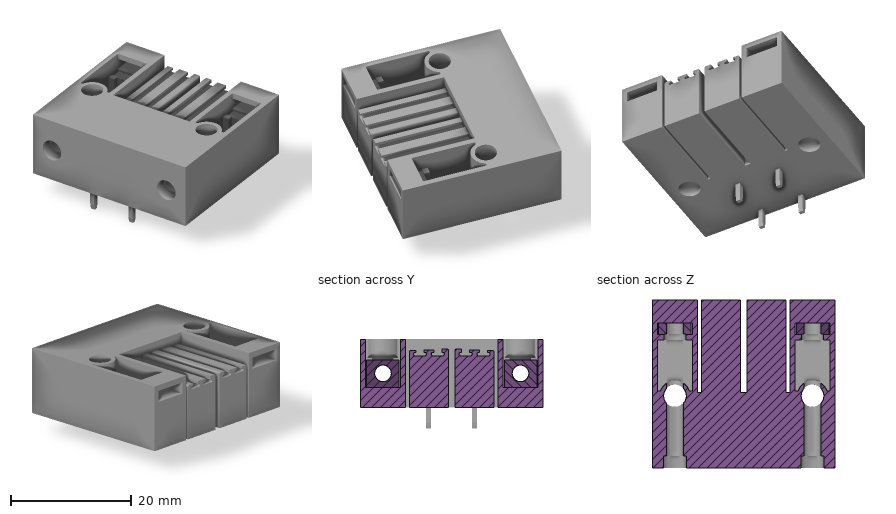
import cadquery as cq


WIDTH = 30.48
DEPTH = 28.0
HEIGHT = 11.4
PITCH = WIDTH / 4
FLANGE_X = 1.5 * PITCH
POLE_X = 0.5 * PITCH
FLANGE_WIDTH = PITCH
BAY_DEPTH = 15.4
BAY_FRONT_Y = DEPTH - BAY_DEPTH
SCREW_Z = HEIGHT / 2

FINGER_WIDTH = 6.58
INNER_RIB_TOP_Z = 9.78
MIDDLE_RIB_TOP_Z = 9.65
OUTER_RIB_TOP_Z = 9.5
FINGER_EDGE_RADIUS = 0.25
GROOVE_X = 1.5
GROOVE_WIDTH = 1.25
GROOVE_FLOOR_Z = 8.63
UNDERCUT = 0.43
UNDERCUT_HEIGHT = 0.52
UNDERCUT_RADIUS = 0.25

MOUNT_HOLE_DIAMETER = 3.7
MOUNT_HOLE_Y = 12.0
SCREW_HOLE_DIAMETER = 2.68
COUNTERBORE_DIAMETER = 3.7
COUNTERBORE_DEPTH = 2.0

NUT_WIDTH = 5.5
NUT_HEIGHT = 4.57
NUT_THICKNESS = 1.8
NUT_BORE_DIAMETER = SCREW_HOLE_DIAMETER

POCKET_WIDTH = 5.8
POCKET_BACK_Y = 24.08
POCKET_FLOOR_Z = SCREW_Z - NUT_HEIGHT / 2
POCKET_FRONT_GAP = 0.85
POCKET_TIP_RADIUS = 0.15
COLLAR_RADIUS = 2.55

WINDOW_FLOOR_Z = 8.45
WINDOW_LIP = 1.0

KEEPER_THICKNESS = 1.0
KEEPER_TOP_Z = 8.23
KEEPER_NOTCH_WIDTH = 3.5
KEEPER_BACK_Y = POCKET_BACK_Y - NUT_THICKNESS
KEEPER_FRONT_Y = KEEPER_BACK_Y - KEEPER_THICKNESS

CONTACT_THICKNESS = 0.8
LEG_WIDTH = 1.0
LEG_LENGTH = 3.5
LEG_TIP_WIDTH = 0.6
LEG_TIP_LENGTH = 1.0
FRONT_LEG_Y = 1.13
BACK_LEG_Y = FRONT_LEG_Y + PITCH
CONTACT_BAR_HEIGHT = LEG_WIDTH


def box(x_size, y_from, y_to, z_from, z_to, x_centre=0.0):
    """Block centred on x_centre, between the given Y and Z limits."""
    return (
        cq.Workplane("XY")
        .box(x_size, y_to - y_from, z_to - z_from, centered=(True, False, False))
        .translate((x_centre, y_from, z_from))
    )


def rod(diameter, x, y_from, y_to):
    """Cylinder along Y at the screw height."""
    return (
        cq.Workplane("XZ", origin=(x, y_from, SCREW_Z))
        .circle(diameter / 2)
        .extrude(y_from - y_to)
    )


def groove(x):
    """Lengthwise finger groove, undercut near its floor."""
    opening = box(GROOVE_WIDTH, BAY_FRONT_Y, DEPTH, GROOVE_FLOOR_Z, INNER_RIB_TOP_Z, x)
    undercut_width = GROOVE_WIDTH + 2 * UNDERCUT
    undercut_top_z = GROOVE_FLOOR_Z + UNDERCUT_HEIGHT
    undercut = box(undercut_width, BAY_FRONT_Y, DEPTH, GROOVE_FLOOR_Z, undercut_top_z, x)
    undercut = undercut.edges("|Y").fillet(UNDERCUT_RADIUS)
    return opening.union(undercut)


def rib_block(side, rib_place, top_z):
    """One third of a finger; rib_place is -1 for inner, 0 for middle and 1 for outer."""
    third = FINGER_WIDTH / 3
    rib_x = side * (POLE_X + rib_place * third)
    block = box(third, BAY_FRONT_Y, DEPTH, 0, top_z, rib_x)
    if rib_place:
        outward = ">X" if side * rib_place > 0 else "<X"
        block = block.faces(outward).edges(">Z").fillet(FINGER_EDGE_RADIUS)
    return block


def finger(side):
    """Bar for one pole, grooved into three ribs that step down towards the flange."""
    bar = rib_block(side, 0, MIDDLE_RIB_TOP_Z)
    bar = bar.union(rib_block(side, -1, INNER_RIB_TOP_Z))
    bar = bar.union(rib_block(side, 1, OUTER_RIB_TOP_Z))
    for offset in (-GROOVE_X, GROOVE_X):
        bar = bar.cut(groove(side * POLE_X + offset))
    return bar


def pocket(x):
    """Nut pocket whose front end wraps around the mounting hole collar."""
    front_y = MOUNT_HOLE_Y + POCKET_FRONT_GAP
    cavity = box(POCKET_WIDTH, front_y, POCKET_BACK_Y, POCKET_FLOOR_Z, HEIGHT, x)
    collar = (
        cq.Workplane("XY", origin=(x, MOUNT_HOLE_Y, POCKET_FLOOR_Z))
        .circle(COLLAR_RADIUS)
        .extrude(HEIGHT - POCKET_FLOOR_Z)
    )
    return cavity.cut(collar).edges("|Z and <Y").fillet(POCKET_TIP_RADIUS)


def keeper(x):
    """Wall across the pocket with a U-shaped notch for the screw."""
    wall = box(POCKET_WIDTH, KEEPER_FRONT_Y, KEEPER_BACK_Y, POCKET_FLOOR_Z, KEEPER_TOP_Z, x)
    notch = box(KEEPER_NOTCH_WIDTH, KEEPER_FRONT_Y, KEEPER_BACK_Y, SCREW_Z, KEEPER_TOP_Z, x)
    notch_bottom = rod(KEEPER_NOTCH_WIDTH, x, KEEPER_FRONT_Y, KEEPER_BACK_Y)
    return wall.cut(notch).cut(notch_bottom)


def contact(x):
    """Bar flush with the housing base, carrying two tapered solder legs."""
    bar = box(
        CONTACT_THICKNESS,
        FRONT_LEG_Y - LEG_WIDTH / 2,
        BACK_LEG_Y + LEG_WIDTH / 2,
        0,
        CONTACT_BAR_HEIGHT,
        x,
    )
    for y in (FRONT_LEG_Y, BACK_LEG_Y):
        leg = (
            cq.Workplane("YZ", origin=(x - CONTACT_THICKNESS / 2, y, 0))
            .moveTo(-LEG_WIDTH / 2, 0)
            .lineTo(-LEG_WIDTH / 2, LEG_TIP_LENGTH - LEG_LENGTH)
            .lineTo(-LEG_TIP_WIDTH / 2, -LEG_LENGTH)
            .lineTo(LEG_TIP_WIDTH / 2, -LEG_LENGTH)
            .lineTo(LEG_WIDTH / 2, LEG_TIP_LENGTH - LEG_LENGTH)
            .lineTo(LEG_WIDTH / 2, 0)
            .close()
            .extrude(CONTACT_THICKNESS)
        )
        bar = bar.union(leg)
    return bar


def nut(x):
    """Rectangular nut standing against the back of its pocket."""
    top_z = POCKET_FLOOR_Z + NUT_HEIGHT
    block = box(NUT_WIDTH, KEEPER_BACK_Y, POCKET_BACK_Y, POCKET_FLOOR_Z, top_z, x)
    return block.cut(rod(NUT_BORE_DIAMETER, x, KEEPER_BACK_Y, POCKET_BACK_Y))


def window(x):
    """Opening from the back of the pocket out through the back face."""
    return box(POCKET_WIDTH, POCKET_BACK_Y, DEPTH, WINDOW_FLOOR_Z, HEIGHT - WINDOW_LIP, x)


def mount_hole(x):
    """Vertical mounting hole through a flange."""
    return (
        cq.Workplane("XY", origin=(x, MOUNT_HOLE_Y, 0))
        .circle(MOUNT_HOLE_DIAMETER / 2)
        .extrude(HEIGHT)
    )


def housing(contacts):
    """Housing with fingers, flange pockets, holes and contact recesses."""
    body = box(WIDTH, 0, DEPTH, 0, HEIGHT)
    body = body.cut(box(WIDTH - 2 * FLANGE_WIDTH, BAY_FRONT_Y, DEPTH, 0, HEIGHT))
    for side in (-1, 1):
        body = body.union(finger(side))
    for x in (-FLANGE_X, FLANGE_X):
        body = body.cut(pocket(x)).union(keeper(x))
        body = body.cut(window(x)).cut(mount_hole(x))
        body = body.cut(rod(COUNTERBORE_DIAMETER, x, 0, COUNTERBORE_DEPTH))
        body = body.cut(rod(SCREW_HOLE_DIAMETER, x, 0, KEEPER_BACK_Y))
    for part in contacts:
        body = body.cut(part)
    return body


contacts = [contact(x) for x in (-POLE_X, POLE_X)]
nuts = [nut(x) for x in (-FLANGE_X, FLANGE_X)]
shell = housing(contacts)

result = cq.Compound.makeCompound([part.val() for part in [shell, *nuts, *contacts]])